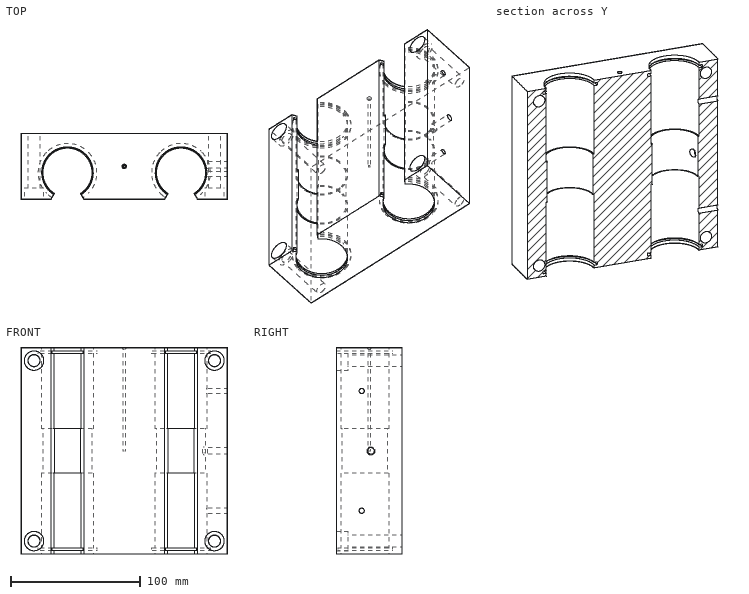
import cadquery as cq
import math

WIDTH = 160.0
DEPTH = 51.0
HEIGHT = 160.0
MID_Y = DEPTH / 2
MID_Z = HEIGHT / 2

BORE_SPACING = 88.0
BORE_AXIS_Y = 20.6
BORE_RADIUS = 20.0
MIDDLE_BORE_RADIUS = 19.0
MIDDLE_BORE_LENGTH = 34.4
MOUTH_WIDTH = 25.5
MOUTH_ANGLE = 60.0
BORE_POSITIONS = (-BORE_SPACING / 2, BORE_SPACING / 2)

GROOVE_RADIUS = 22.7
GROOVE_WIDTH = 2.0
GROOVE_OFFSET = 2.7

MOUNT_INSET = 10.0
MOUNT_SPACING = WIDTH - 2 * MOUNT_INSET
MOUNT_DIAMETER = 9.1
COUNTERBORE_DIAMETER = 15.0
COUNTERBORE_DEPTH = 9.0

FEED_DIAMETER = 1.6
FEED_SINK_DIAMETER = 3.4
FEED_SINK_ANGLE = 60.0

SMALL_CROSS_DIAMETER = 4.0
SMALL_CROSS_SPACING = 92.8
SMALL_CROSS_Y = 19.7
LARGE_CROSS_DIAMETER = 5.1
LARGE_CROSS_Y = 26.9
LARGE_CROSS_MOUTH_DIAMETER = 6.4
LARGE_CROSS_MOUTH_END = 20.5


def upright_cylinder(x, y, bottom, radius, length):
    return cq.Workplane("XY", origin=(x, y, bottom)).circle(radius).extrude(length)


def mouth(x):
    """Wedge-shaped slot that narrows from the front face to the bore."""
    half_width = MOUTH_WIDTH / 2
    apex_y = half_width / math.tan(math.radians(MOUTH_ANGLE / 2))
    corners = [(x - half_width, 0), (x + half_width, 0), (x, apex_y)]
    return cq.Workplane("XY").polyline(corners).close().extrude(HEIGHT)


def bearing_bore(x):
    """Bore with a tighter middle stretch, two ring grooves and the open mouth."""
    bore = upright_cylinder(x, BORE_AXIS_Y, 0, MIDDLE_BORE_RADIUS, HEIGHT).union(mouth(x))
    end_length = (HEIGHT - MIDDLE_BORE_LENGTH) / 2
    for bottom in (0, HEIGHT - end_length):
        bore = bore.union(upright_cylinder(x, BORE_AXIS_Y, bottom, BORE_RADIUS, end_length))
    for bottom in (GROOVE_OFFSET, HEIGHT - GROOVE_OFFSET - GROOVE_WIDTH):
        bore = bore.union(upright_cylinder(x, BORE_AXIS_Y, bottom, GROOVE_RADIUS, GROOVE_WIDTH))
    return bore


def feed_hole():
    """Hole to mid-height with a conical countersink at the upper end."""
    radius = FEED_DIAMETER / 2
    sink_radius = FEED_SINK_DIAMETER / 2
    sink_bottom = HEIGHT - (sink_radius - radius) / math.tan(math.radians(FEED_SINK_ANGLE / 2))
    half_section = [
        (0, HEIGHT),
        (sink_radius, HEIGHT),
        (radius, sink_bottom),
        (radius, MID_Z),
        (0, MID_Z),
    ]
    profile = cq.Workplane("XZ", origin=(0, MID_Y, 0)).polyline(half_section).close()
    return profile.revolve(360, (0, 0, 0), (0, 1, 0))


def cross_hole(y, z, diameter, length):
    """Hole along +X that starts in the middle of the +X bore."""
    start = BORE_POSITIONS[1]
    return cq.Workplane("YZ", origin=(start, y, z)).circle(diameter / 2).extrude(length)


result = cq.Workplane("XY").box(WIDTH, DEPTH, HEIGHT, centered=(True, False, False))

for bore_x in BORE_POSITIONS:
    result = result.cut(bearing_bore(bore_x))

result = (
    result.copyWorkplane(cq.Workplane("XZ", origin=(0, 0, MID_Z)))
    .rarray(MOUNT_SPACING, MOUNT_SPACING, 2, 2)
    .cboreHole(MOUNT_DIAMETER, COUNTERBORE_DIAMETER, COUNTERBORE_DEPTH)
)

result = result.cut(feed_hole())

side_reach = WIDTH / 2 - BORE_POSITIONS[1]
for offset in (-SMALL_CROSS_SPACING / 2, SMALL_CROSS_SPACING / 2):
    result = result.cut(cross_hole(SMALL_CROSS_Y, MID_Z + offset, SMALL_CROSS_DIAMETER, side_reach))
result = result.cut(cross_hole(LARGE_CROSS_Y, MID_Z, LARGE_CROSS_DIAMETER, side_reach))
result = result.cut(cross_hole(LARGE_CROSS_Y, MID_Z, LARGE_CROSS_MOUTH_DIAMETER, LARGE_CROSS_MOUTH_END))

result = result.solids()